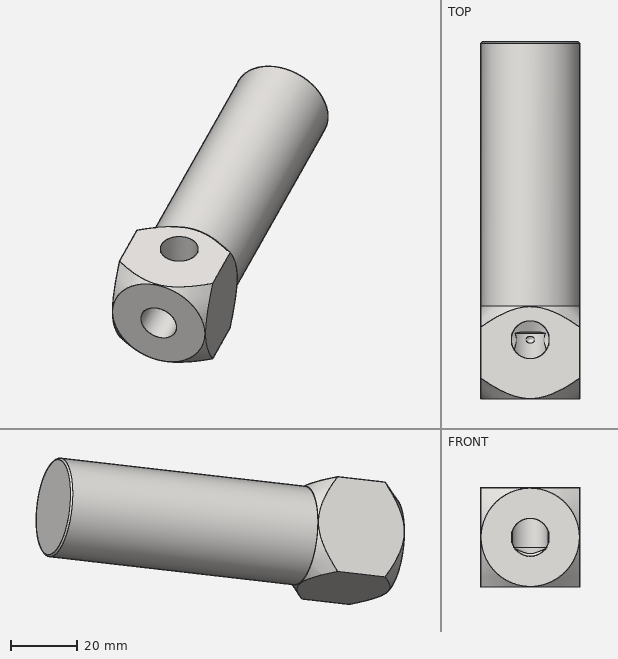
import cadquery as cq
import math

total_length = 108.0
width = 30.0

head_length = 28.1
head_face_diameter = 29.7
corner_cone_angle = 45.0

port_diameter = 11.5
drill_point_angle = 120.0
axial_port_depth = 19.9
top_port_y = 17.9
top_port_floor_z = -3.0

rod_end_chamfer = 0.5


def make_drill(length):
    """Drill pointing along -Z, with its full-diameter section from Z = 0 to length."""
    radius = port_diameter / 2
    point_length = radius / math.tan(math.radians(drill_point_angle / 2))
    return (
        cq.Workplane("XZ")
        .moveTo(0, -point_length)
        .lineTo(radius, 0)
        .lineTo(radius, length)
        .lineTo(0, length)
        .close()
        .revolve(360, (0, 0, 0), (0, 1, 0))
    )


def make_turning_envelope():
    """Double cone about Y that trims the corners at both ends of the head."""
    face_radius = head_face_diameter / 2
    corner_radius = width / math.sqrt(2)
    cone_length = (corner_radius - face_radius) * math.tan(math.radians(corner_cone_angle))
    middle_radius = face_radius + (corner_radius - face_radius) * head_length / (2 * cone_length)
    return (
        cq.Workplane("XY")
        .lineTo(face_radius, 0)
        .lineTo(middle_radius, head_length / 2)
        .lineTo(face_radius, head_length)
        .lineTo(0, head_length)
        .close()
        .revolve(360, (0, 0, 0), (0, 1, 0))
    )


def make_head():
    block = cq.Workplane("XY").box(width, head_length, width, centered=(True, False, True))
    turned_block = block.intersect(make_turning_envelope())
    axial_drill = (
        make_drill(axial_port_depth)
        .rotate((0, 0, 0), (1, 0, 0), 90)
        .translate((0, axial_port_depth, 0))
    )
    top_drill = (
        make_drill(width / 2 - top_port_floor_z)
        .rotate((0, 0, 0), (0, 0, 1), 90)
        .translate((0, top_port_y, top_port_floor_z))
    )
    return turned_block.cut(axial_drill).cut(top_drill).solids()


def make_rod():
    return (
        cq.Workplane("XZ", origin=(0, head_length, 0))
        .circle(width / 2)
        .extrude(-(total_length - head_length))
        .faces(">Y")
        .chamfer(rod_end_chamfer)
    )


head = make_head()
rod = make_rod()

result = cq.Compound.makeCompound([head.val(), rod.val()])